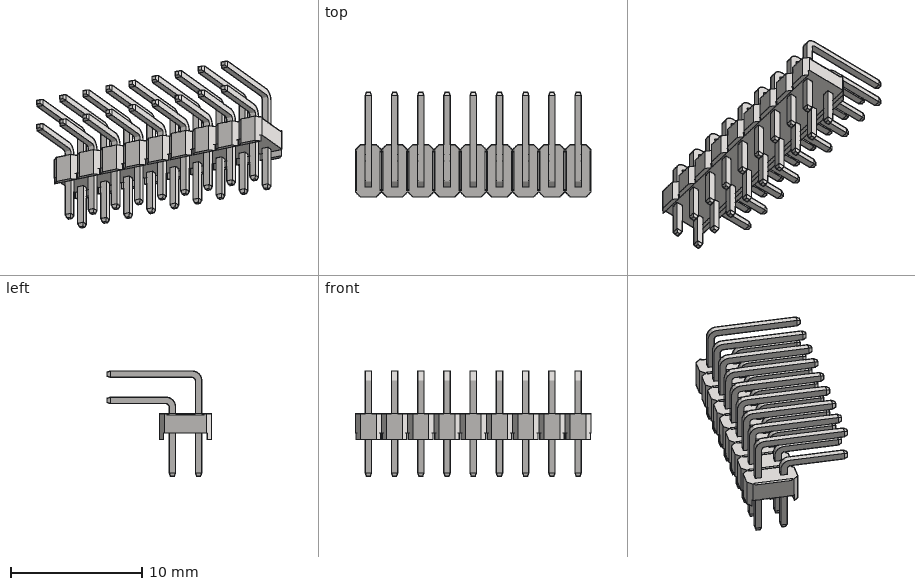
import cadquery as cq
import math


length = 18.0
columns = 9
pitch = length / columns
row_count = 2

body_depth = row_count * pitch
body_height = pitch
corner_chamfer = 0.4
skirt_thickness = 0.35
channel_depth = 0.5
groove_depth = 0.1
groove_length = 3.0

pin_width = 0.5
pin_half = pin_width / 2
tail_length = 2.79
arm_reach = 2 * pitch
front_arm_rise = 1.5 * pitch
bend_inner_radius = 0.25
bend_outer_radius = bend_inner_radius + pin_width
tip_length = 0.27
tip_width = 0.3

column_positions = [(i - (columns - 1) / 2) * pitch for i in range(columns)]
cell_boundaries = [(i - columns / 2) * pitch for i in range(columns + 1)]


def body_cell(x):
    """One block of the body with chamfered vertical corners."""
    return (
        cq.Workplane("XY")
        .box(pitch, body_depth, body_height, centered=(True, True, False))
        .edges("|Z")
        .chamfer(corner_chamfer)
        .translate((x, 0, 0))
    )


def dividing_groove(x):
    """Cutter for a V-groove in the top face whose ends also slope at 45 degrees."""
    bottom = body_height - groove_depth
    half_top = groove_length / 2
    half_bottom = half_top - groove_depth
    lengthwise = (
        cq.Workplane("YZ")
        .polyline([
            (-half_top, body_height),
            (-half_bottom, bottom),
            (half_bottom, bottom),
            (half_top, body_height),
        ])
        .close()
        .extrude(groove_depth, both=True)
    )
    vee = (
        cq.Workplane("XZ")
        .polyline([(-groove_depth, body_height), (0, bottom), (groove_depth, body_height)])
        .close()
        .extrude(half_top, both=True)
    )
    return lengthwise.intersect(vee).translate((x, 0, 0))


def make_body():
    """Row of cells with an underside channel and grooves at the cell boundaries."""
    body = body_cell(column_positions[0])
    for x in column_positions[1:]:
        body = body.union(body_cell(x))
    channel = cq.Workplane("XY").box(
        length, body_depth - 2 * skirt_thickness, channel_depth, centered=(True, True, False)
    )
    body = body.cut(channel)
    for x in cell_boundaries:
        body = body.cut(dividing_groove(x))
    return body


def tapered_tip(plane):
    """Square taper that starts on the given plane and narrows along its normal."""
    return (
        cq.Workplane(plane)
        .rect(pin_width, pin_width)
        .workplane(offset=tip_length)
        .rect(tip_width, tip_width)
        .loft()
    )


def bent_pin(y, arm_rise):
    """Square pin centred on X = 0: vertical leg at y, rounded bend, arm toward +Y."""
    arm_z = body_height + arm_rise
    top = arm_z + pin_half
    underside = arm_z - pin_half
    front = y - pin_half
    back = y + pin_half
    leg_end = tip_length - tail_length
    arm_end = body_depth / 2 + arm_reach - tip_length
    bend_y = front + bend_outer_radius
    bend_z = top - bend_outer_radius
    outer_mid = bend_outer_radius * math.sqrt(0.5)
    inner_mid = bend_inner_radius * math.sqrt(0.5)
    shank = (
        cq.Workplane("YZ")
        .moveTo(front, leg_end)
        .lineTo(front, bend_z)
        .threePointArc((bend_y - outer_mid, bend_z + outer_mid), (bend_y, top))
        .lineTo(arm_end, top)
        .lineTo(arm_end, underside)
        .lineTo(bend_y, underside)
        .threePointArc((bend_y - inner_mid, bend_z + inner_mid), (back, bend_z))
        .lineTo(back, leg_end)
        .close()
        .extrude(pin_half, both=True)
    )
    leg_plane = cq.Plane(origin=(0, y, leg_end), xDir=(1, 0, 0), normal=(0, 0, -1))
    arm_plane = cq.Plane(origin=(0, arm_end, arm_z), xDir=(1, 0, 0), normal=(0, 1, 0))
    return shank.union(tapered_tip(leg_plane)).union(tapered_tip(arm_plane))


result = make_body()
for row in range(row_count):
    row_y = (row - (row_count - 1) / 2) * pitch
    pin = bent_pin(row_y, front_arm_rise - row * pitch)
    for x in column_positions:
        result = result.union(pin.translate((x, 0, 0)))